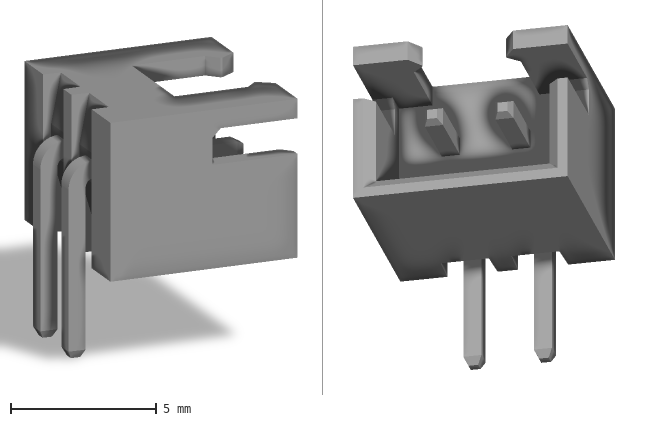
import cadquery as cq
import math


housing_width = 7.6
housing_depth = 7.0
housing_height = 5.75

roof_thickness = 0.7
wall_thickness = 0.72
cavity_depth = 3.8
rim_chamfer = 0.37
cavity_width = housing_width - 2 * wall_thickness
cavity_back = housing_depth - cavity_depth
cavity_floor = wall_thickness - housing_height

roof_opening_width = 3.79
lip_mouth_width = 3.73
lip_neck_width = 2.98
lip_neck_start = 0.57
lip_neck_end = 0.64
lip_shoulder = (roof_opening_width - lip_neck_width) / 2

slot_height = 1.29
slot_depth = 3.175
slot_corner_chamfer = 0.3

pin_pitch = 2.5
pin_size = 0.64
pin_overhang = 7.62 - housing_depth
pin_top = -2.05
pin_bottom = -9.15
pin_front = housing_depth - 1.02
bend_radius = 0.95
tip_length = 0.29
tip_size = 0.35
pin_positions = [-pin_pitch / 2, pin_pitch / 2]

pocket_width = 1.78
pocket_top_depth = 0.65
pocket_land_depth = 0.29
pocket_bottom_depth = 1.13
pocket_land_top = -1.81
pocket_land_bottom = -2.89
pocket_draft = math.radians(2)


def make_cavity():
    """Wide cavity under the roof, with its front rim chamfered on the sides and floor."""
    cavity_height = -roof_thickness - cavity_floor
    cavity = cq.Workplane("XY").box(
        cavity_width, cavity_depth, cavity_height, centered=(True, False, False)
    ).translate((0, cavity_back, cavity_floor))

    rim_width = cavity_width + 2 * rim_chamfer
    rim_height = cavity_height + rim_chamfer
    rim_start = housing_depth - rim_chamfer
    rim_plan = (
        cq.Workplane("XY").workplane(offset=-roof_thickness)
        .polyline([
            (-rim_width / 2, housing_depth),
            (rim_width / 2, housing_depth),
            (cavity_width / 2, rim_start),
            (-cavity_width / 2, rim_start),
        ]).close().extrude(-rim_height)
    )
    rim_profile = (
        cq.Workplane("YZ")
        .polyline([
            (rim_start, -roof_thickness),
            (housing_depth, -roof_thickness),
            (housing_depth, cavity_floor - rim_chamfer),
            (rim_start, cavity_floor),
        ]).close().extrude(rim_width / 2, both=True)
    )
    return cavity.union(rim_plan.intersect(rim_profile))


def make_roof_opening():
    """Opening through the roof, pinched by the snap lips."""
    right_side = [
        (roof_opening_width / 2, cavity_back),
        (roof_opening_width / 2, housing_depth - lip_neck_end - lip_shoulder),
        (lip_neck_width / 2, housing_depth - lip_neck_end),
        (lip_neck_width / 2, housing_depth - lip_neck_start),
        (lip_mouth_width / 2, housing_depth),
    ]
    left_side = [(-x, y) for x, y in reversed(right_side)]
    return cq.Workplane("XY").polyline(right_side + left_side).close().extrude(-roof_thickness)


def make_side_slots():
    """Slot through both side walls, chamfered at its upper rear corner."""
    slot_back = housing_depth - slot_depth
    slot_bottom = -roof_thickness - slot_height
    return (
        cq.Workplane("YZ")
        .polyline([
            (housing_depth, -roof_thickness),
            (slot_back + slot_corner_chamfer, -roof_thickness),
            (slot_back, -roof_thickness - slot_corner_chamfer),
            (slot_back, slot_bottom),
            (housing_depth, slot_bottom),
        ]).close().extrude(housing_width / 2, both=True)
    )


def make_rear_pocket(x):
    """Drafted rear pocket with a flat land that slopes deeper above and below."""
    profile = (
        cq.Workplane("YZ")
        .polyline([
            (0, 0),
            (pocket_top_depth, 0),
            (pocket_land_depth, pocket_land_top),
            (pocket_land_depth, pocket_land_bottom),
            (pocket_bottom_depth, -housing_height),
            (0, -housing_height),
        ]).close().extrude(pocket_width / 2, both=True)
    )
    half_width = pocket_width / 2
    inner_half_width = half_width - pocket_bottom_depth * math.tan(pocket_draft)
    plan = (
        cq.Workplane("XY")
        .polyline([
            (-half_width, 0),
            (half_width, 0),
            (inner_half_width, pocket_bottom_depth),
            (-inner_half_width, pocket_bottom_depth),
        ]).close().extrude(-housing_height)
    )
    return profile.intersect(plan).translate((x, 0, 0))


def make_tip(plane):
    """Tapered square pin end, pointing along the normal of the given plane."""
    return (
        cq.Workplane(plane).rect(pin_size, pin_size)
        .workplane(offset=tip_length).rect(tip_size, tip_size).loft(ruled=True)
    )


def make_pin(x):
    """Square pin bent down through 90 degrees, with tapered tips."""
    leg_rear = -pin_overhang
    leg_front = leg_rear + pin_size
    bar_bottom = pin_top - pin_size
    bend_y = leg_rear + bend_radius
    bend_z = pin_top - bend_radius
    inner_radius = bend_radius - pin_size
    diagonal = math.sqrt(0.5)
    bar_end = pin_front - tip_length
    leg_end = pin_bottom + tip_length
    body = (
        cq.Workplane("YZ")
        .moveTo(bar_end, pin_top)
        .lineTo(bend_y, pin_top)
        .threePointArc(
            (bend_y - bend_radius * diagonal, bend_z + bend_radius * diagonal),
            (leg_rear, bend_z),
        )
        .lineTo(leg_rear, leg_end)
        .lineTo(leg_front, leg_end)
        .lineTo(leg_front, bend_z)
        .threePointArc(
            (bend_y - inner_radius * diagonal, bend_z + inner_radius * diagonal),
            (bend_y, bar_bottom),
        )
        .lineTo(bar_end, bar_bottom)
        .close().extrude(pin_size / 2, both=True)
    )
    front_tip = make_tip(cq.Plane((0, bar_end, pin_top - pin_size / 2), (1, 0, 0), (0, 1, 0)))
    bottom_tip = make_tip(cq.Plane((0, leg_rear + pin_size / 2, leg_end), (1, 0, 0), (0, 0, -1)))
    return body.union(front_tip).union(bottom_tip).translate((x, 0, 0))


def make_housing(pins):
    """Housing block with its cavity, slots, pockets and matching pin holes."""
    housing = cq.Workplane("XY").box(
        housing_width, housing_depth, housing_height, centered=(True, False, False)
    ).translate((0, 0, -housing_height))
    housing = housing.cut(make_cavity()).cut(make_roof_opening()).cut(make_side_slots())
    for x in pin_positions:
        housing = housing.cut(make_rear_pocket(x))
    for pin in pins:
        housing = housing.cut(pin)
    return housing


pins = [make_pin(x) for x in pin_positions]
housing = make_housing(pins)

result = cq.Compound.makeCompound([housing.val(), *[pin.val() for pin in pins]])